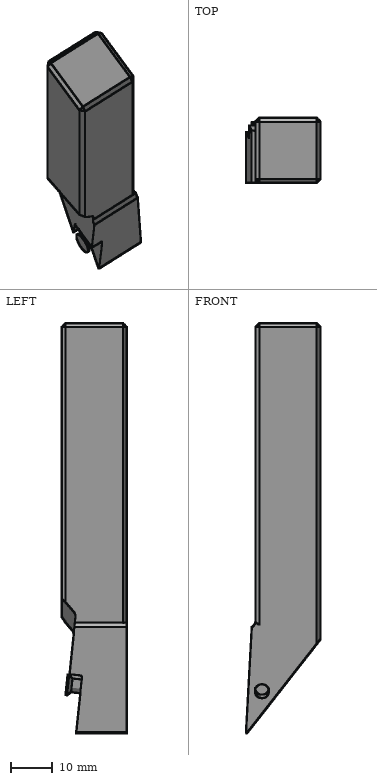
import cadquery as cq
import math

total_length = 99.65
shank_width = 15.8
edge_chamfer = 1.0

shoulder_top = 27.0
shoulder_bottom = 25.8
shoulder_inner = 26.4
lip_overhang = 0.9
tip_overhang = 2.3
tip_bevel_width = 0.2
tip_bevel_height = 0.4
relief_height = 22.9

head_tilt = 6.0
tip_depth = 12.4
pocket_depth = 3.1
pocket_wall_height = 14.2
pocket_corner_radius = 0.5
pocket_side_x = 5.8
ramp_top = 33.0
ramp_rise = 4.2
ramp_run = 3.6
ramp_skew = 17.4
ramp_fillet = 1.5

screw_x = 1.6
screw_front_z = 10.3
screw_diameter = 3.4
screw_head_diameter = 5.0
screw_recess = 8.0
screw_neck_end = 13.5
screw_head_cone_end = 14.3
screw_end = 14.7

reach = 59.8
outside = 5.0
tilt_sin = math.sin(math.radians(head_tilt))
tilt_cos = math.cos(math.radians(head_tilt))


def make_shank():
    bar = cq.Workplane("XY").box(shank_width, shank_width, total_length, centered=False)
    bar = bar.edges("|Z or >Z").chamfer(edge_chamfer)
    relief = (
        cq.Workplane("XZ")
        .moveTo(-tip_overhang + tip_bevel_width, 0)
        .lineTo(shank_width, relief_height)
        .lineTo(shank_width, 0)
        .close()
        .extrude(-shank_width)
    )
    below_shoulder = cq.Workplane("XY").box(
        shank_width / 2, shank_width, shoulder_bottom, centered=False
    )
    return bar.cut(relief).cut(below_shoulder)


def make_head():
    """Wedge that projects to the left of the shank, with a concave shoulder on top."""
    shoulder_middle = (-lip_overhang / 3, (shoulder_top + shoulder_bottom) / 2)
    relief_slope = relief_height / (shank_width + tip_overhang - tip_bevel_width)
    inner_right_x = shank_width / 2
    inner_right_z = relief_slope * (inner_right_x + tip_overhang - tip_bevel_width)
    return (
        cq.Workplane("XZ")
        .moveTo(-tip_overhang + tip_bevel_width, 0)
        .lineTo(-tip_overhang, tip_bevel_height)
        .lineTo(-lip_overhang, shoulder_bottom)
        .threePointArc(shoulder_middle, (0, shoulder_top))
        .lineTo(edge_chamfer, shoulder_inner)
        .lineTo(inner_right_x, shoulder_bottom)
        .lineTo(inner_right_x, inner_right_z)
        .close()
        .extrude(-shank_width)
    )


def tilted_block(floor_offset, length, right_x):
    """Block behind a plane parallel to the pocket floor, `length` up along it and out to `right_x`."""
    plane = cq.Plane(
        origin=(-outside, tip_depth, 0),
        xDir=(1, 0, 0),
        normal=(0, tilt_cos, tilt_sin),
    )
    return (
        cq.Workplane(plane)
        .workplane(offset=floor_offset)
        .moveTo(0, outside)
        .lineTo(outside + right_x, outside)
        .lineTo(outside + right_x, -length)
        .lineTo(0, -length)
        .close()
        .extrude(reach)
    )


def make_head_cutter():
    """Space behind the head's top face, bounded above by the skewed ramp."""
    skew_slope = math.tan(math.radians(ramp_skew))
    start_z = ramp_top + outside * skew_slope
    ramp_steps = reach / ramp_run
    ramp_profile = [
        (-outside, shank_width + ramp_run, start_z + ramp_rise),
        (-outside, shank_width - reach, start_z - ramp_rise * ramp_steps),
        (-outside, shank_width + ramp_run, start_z - ramp_rise * ramp_steps),
    ]
    wire = cq.Wire.makePolygon([cq.Vector(*p) for p in ramp_profile], close=True)
    sweep = cq.Vector(shank_width + 2 * outside, 0, -skew_slope * (shank_width + 2 * outside))
    below_ramp = cq.Workplane(cq.Solid.extrudeLinear(wire, [], sweep))
    corner = cq.selectors.NearestToPointSelector(
        (shank_width / 2, tip_depth, ramp_top - ramp_rise - skew_slope * shank_width / 2)
    )
    head_space = below_ramp.intersect(tilted_block(pocket_depth, reach, reach))
    return head_space.edges(corner).fillet(ramp_fillet)


def make_pocket():
    pocket = tilted_block(0, pocket_wall_height, pocket_side_x)
    corner = cq.selectors.NearestToPointSelector(
        (0, tip_depth - pocket_wall_height * tilt_sin, pocket_wall_height * tilt_cos)
    )
    return pocket.edges("|X").edges(corner).fillet(pocket_corner_radius)


def make_holder():
    axis_plane = cq.Plane(
        origin=(screw_x, 0, screw_front_z),
        xDir=(1, 0, 0),
        normal=(0, tilt_cos, tilt_sin),
    )
    screw_hole = (
        cq.Workplane(axis_plane)
        .workplane(offset=-outside)
        .circle(screw_diameter / 2)
        .extrude(reach)
    )
    return (
        make_shank()
        .union(make_head())
        .cut(make_head_cutter())
        .cut(make_pocket())
        .cut(screw_hole)
    )


def make_screw():
    radius = screw_diameter / 2
    head_radius = screw_head_diameter / 2
    plane = cq.Plane(
        origin=(screw_x, 0, screw_front_z),
        xDir=(1, 0, 0),
        normal=(0, -tilt_sin, tilt_cos),
    )
    return (
        cq.Workplane(plane)
        .moveTo(0, screw_recess)
        .lineTo(radius, screw_recess)
        .lineTo(radius, screw_neck_end)
        .lineTo(head_radius, screw_head_cone_end)
        .lineTo(head_radius, screw_end)
        .lineTo(0, screw_end)
        .close()
        .revolve(360, (0, 0), (0, 1))
    )


holder = make_holder()
screw = make_screw()
result = cq.Compound.makeCompound([holder.solids().val(), screw.val()])